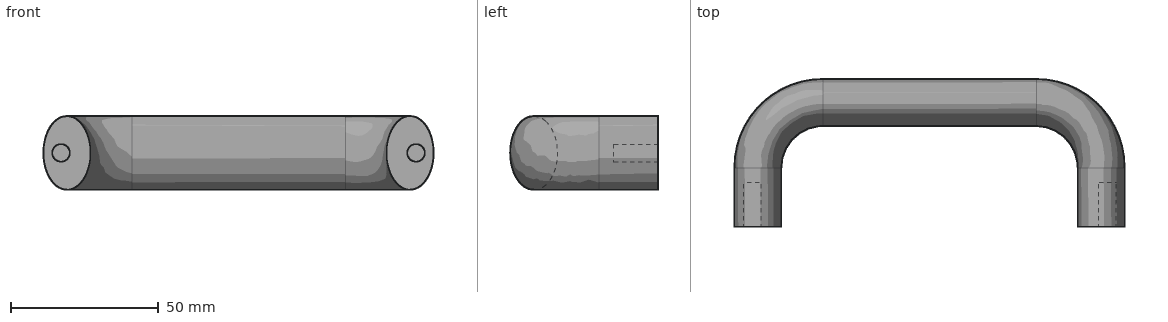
import cadquery as cq

length = 132.0
projection = 50.0
grip_height = 25.0

grip_thickness = 16.0
bend_outer_radius = 30.0

hole_diameter = 6.0
hole_spacing = 120.0
hole_depth = 15.0

leg_x = (length - grip_thickness) / 2
grip_y = projection - grip_thickness / 2
bend_radius = bend_outer_radius - grip_thickness / 2
leg_length = grip_y - bend_radius
grip_half_length = leg_x - bend_radius


def make_bar():
    """Sweep the elliptical section along the U-shaped centreline."""
    centreline = (
        cq.Workplane("XY")
        .moveTo(-leg_x, 0)
        .lineTo(-leg_x, leg_length)
        .radiusArc((-grip_half_length, grip_y), bend_radius)
        .lineTo(grip_half_length, grip_y)
        .radiusArc((leg_x, leg_length), bend_radius)
        .lineTo(leg_x, 0)
    )
    return (
        cq.Workplane("XZ")
        .center(-leg_x, 0)
        .ellipse(grip_thickness / 2, grip_height / 2)
        .sweep(centreline)
    )


def make_mounting_holes():
    """Blind holes, set slightly outward of the leg centres."""
    return (
        cq.Workplane("XZ")
        .pushPoints([(-hole_spacing / 2, 0), (hole_spacing / 2, 0)])
        .circle(hole_diameter / 2)
        .extrude(-hole_depth)
    )


result = make_bar().cut(make_mounting_holes())